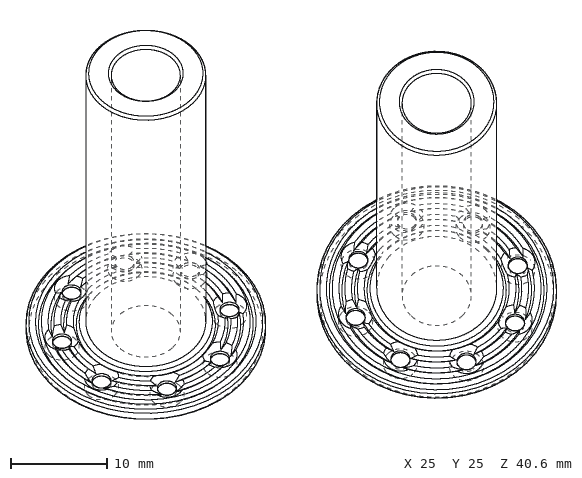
import cadquery as cq

TOTAL_HEIGHT = 40.6
FLANGE_DIAMETER = 25.0
FLANGE_THICKNESS = 1.55
TUBE_DIAMETER = 12.5
BORE_DIAMETER = 7.2
EDGE_CHAMFER = 0.3

GROOVE_COUNT = 4
FIRST_GROOVE_DIAMETER = 14.5
LAST_GROOVE_DIAMETER = 22.4
GROOVE_PITCH = (LAST_GROOVE_DIAMETER - FIRST_GROOVE_DIAMETER) / 2 / (GROOVE_COUNT - 1)
GROOVE_WIDTH = 0.6
GROOVE_DEPTH = 0.5

HOLE_COUNT = 8
HOLE_DIAMETER = 2.0
HOLE_CIRCLE_DIAMETER = 18.0
COUNTERSINK_DIAMETER = 3.57
COUNTERSINK_DEPTH = 0.55


def revolve_profile(points):
    """Turn a closed outline of (radius, height) points around the Z axis."""
    return cq.Workplane("XZ").polyline(points).close().revolve(360, (0, 0, 0), (0, 1, 0))


def make_flange():
    """Disc with both rim edges chamfered, resting on Z = 0."""
    disc = cq.Workplane("XY").circle(FLANGE_DIAMETER / 2).extrude(FLANGE_THICKNESS)
    return disc.edges().chamfer(EDGE_CHAMFER)


def make_tube():
    """Solid cylinder over the full height, chamfered at the top."""
    cylinder = cq.Workplane("XY").circle(TUBE_DIAMETER / 2).extrude(TOTAL_HEIGHT)
    return cylinder.faces(">Z").edges().chamfer(EDGE_CHAMFER)


def make_bore():
    """Cutter for the through bore, flared at the top into a chamfer."""
    radius = BORE_DIAMETER / 2
    return revolve_profile([
        (0, 0),
        (radius, 0),
        (radius, TOTAL_HEIGHT - EDGE_CHAMFER),
        (radius + EDGE_CHAMFER, TOTAL_HEIGHT),
        (0, TOTAL_HEIGHT),
    ])


def make_groove(radius):
    """Ring-shaped cutter with a V section whose tip lies at the given radius."""
    return revolve_profile([
        (radius - GROOVE_WIDTH / 2, FLANGE_THICKNESS),
        (radius, FLANGE_THICKNESS - GROOVE_DEPTH),
        (radius + GROOVE_WIDTH / 2, FLANGE_THICKNESS),
    ])


def make_countersunk_hole():
    """Cutter on the Z axis for one through hole, countersunk at both ends."""
    hole_radius = HOLE_DIAMETER / 2
    rim_radius = COUNTERSINK_DIAMETER / 2
    return revolve_profile([
        (0, 0),
        (rim_radius, 0),
        (hole_radius, COUNTERSINK_DEPTH),
        (hole_radius, FLANGE_THICKNESS - COUNTERSINK_DEPTH),
        (rim_radius, FLANGE_THICKNESS),
        (0, FLANGE_THICKNESS),
    ])


flange = make_flange()
for index in range(GROOVE_COUNT):
    groove_radius = FIRST_GROOVE_DIAMETER / 2 + index * GROOVE_PITCH
    flange = flange.cut(make_groove(groove_radius))

first_hole = make_countersunk_hole().translate((HOLE_CIRCLE_DIAMETER / 2, 0, 0))
for index in range(HOLE_COUNT):
    angle = index * 360 / HOLE_COUNT
    flange = flange.cut(first_hole.rotate((0, 0, 0), (0, 0, 1), angle))

result = flange.union(make_tube()).cut(make_bore())